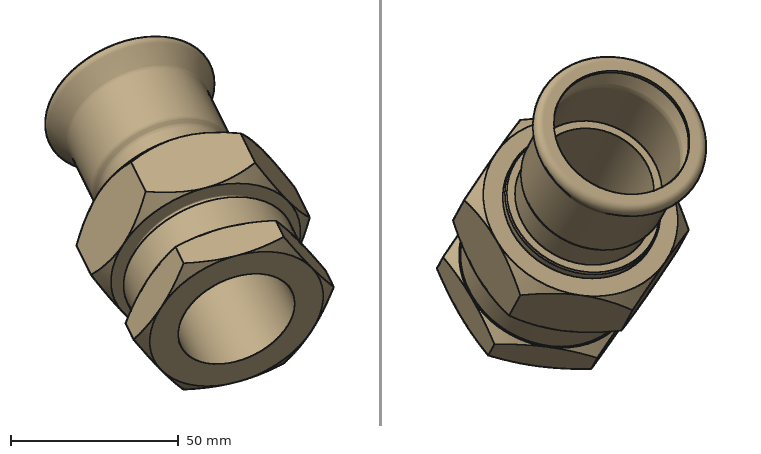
import cadquery as cq
import math

length = 96.0
flange_start = 44.0
nut_start = 46.9
nut_end = 69.0
collar_start = 71.7
end_hex_start = 84.0

bore_radius = 18.4
socket_radius = 20.9
body_radius = 45.0 / 2
neck_radius = 42.0 / 2
flange_radius = 48.0 / 2
ring_radius = 50.0 / 2
collar_radius = 54.0 / 2
flange_chamfer = 0.5
ring_fillet = 0.4

lip_round = 2.5
lip_center_radius = 24.2
lip_angle = math.radians(30)
groove_start = 1.2
groove_radius = 24.4
groove_wall = 1.5
bend_round = 1.8

shoulder_corner = 32.1
shoulder_angle = math.radians(36)
shoulder_round = 1.7
socket_depth = 31.4

nut_flats = 60.0
nut_chamfer_angle = 45
end_flats = 54.9
end_chamfer_angle = 30


def revolve(profile):
    return profile.close().revolve(360, (0, 0, 0), (1, 0, 0))


def round_at(solid, x, radius):
    """Round the circular edge lying in the plane at the given X."""
    margin = 0.01
    span = 2 * nut_flats
    box = cq.selectors.BoxSelector((x - margin, -span, -span), (x + margin, span, span))
    return solid.edges(box).fillet(radius)


def socket_and_neck():
    tangent_x = lip_round * (1 + math.sin(lip_angle))
    tangent_r = lip_center_radius + lip_round * math.cos(lip_angle)
    body_start = tangent_x + (tangent_r - body_radius) / math.tan(lip_angle)
    shoulder_end = shoulder_corner + (body_radius - neck_radius) / math.tan(shoulder_angle)
    arc_angle = (math.pi / 2 + lip_angle) / 2
    arc_middle = (
        lip_round * (1 - math.cos(arc_angle)),
        lip_center_radius + lip_round * math.sin(arc_angle),
    )
    profile = (
        cq.Workplane("XY")
        .lineTo(0, lip_center_radius)
        .threePointArc(arc_middle, (tangent_x, tangent_r))
        .lineTo(body_start, body_radius)
        .lineTo(shoulder_corner, body_radius)
        .lineTo(shoulder_end, neck_radius)
        .lineTo(nut_start, neck_radius)
        .lineTo(nut_start, 0)
    )
    solid = revolve(profile)
    solid = round_at(solid, body_start, bend_round)
    solid = round_at(solid, shoulder_corner, shoulder_round)
    return round_at(solid, shoulder_end, shoulder_round)


def disc(start, end, radius):
    return cq.Workplane("YZ", origin=(start, 0, 0)).circle(radius).extrude(end - start)


def filleted_ring():
    """Ring between nut and collar, with a fillet running up into each neighbour."""
    outer_radius = ring_radius + ring_fillet
    return revolve(
        cq.Workplane("XY")
        .moveTo(nut_end, 0)
        .lineTo(nut_end, outer_radius)
        .radiusArc((nut_end + ring_fillet, ring_radius), -ring_fillet)
        .lineTo(collar_start - ring_fillet, ring_radius)
        .radiusArc((collar_start, outer_radius), -ring_fillet)
        .lineTo(collar_start, 0)
    )


def hexagon(start, end, flats, chamfer_angle):
    """Hexagon with points along Y, both ends turned down to the flats by a cone."""
    corner_radius = flats / math.sqrt(3)
    end_radius = flats / 2
    chamfer_length = (corner_radius - end_radius) * math.tan(math.radians(chamfer_angle))
    prism = cq.Workplane("YZ", origin=(start, 0, 0)).polygon(6, 2 * corner_radius).extrude(end - start)
    turned = revolve(
        cq.Workplane("XY")
        .moveTo(start, 0)
        .lineTo(start, end_radius)
        .lineTo(start + chamfer_length, corner_radius)
        .lineTo(end - chamfer_length, corner_radius)
        .lineTo(end, end_radius)
        .lineTo(end, 0)
    )
    return prism.intersect(turned)


def socket_cavity():
    """Socket bore with a seal groove whose sloping rear wall runs parallel to the outside of the lip."""
    top_end = lip_round * (1 + math.sin(lip_angle))
    slope_end = top_end + (groove_radius - socket_radius) / math.tan(lip_angle)
    socket = disc(0, socket_depth, socket_radius)
    groove = revolve(
        cq.Workplane("XY")
        .moveTo(groove_start, 0)
        .lineTo(groove_start, groove_radius)
        .lineTo(top_end, groove_radius)
        .lineTo(slope_end, socket_radius)
        .lineTo(slope_end, 0)
    )
    return round_at(groove.union(socket), slope_end, bend_round + groove_wall)


flange = disc(flange_start, nut_start, flange_radius).faces("<X").chamfer(flange_chamfer)
body = (
    socket_and_neck()
    .union(flange)
    .union(hexagon(nut_start, nut_end, nut_flats, nut_chamfer_angle))
    .union(filleted_ring())
    .union(disc(collar_start, end_hex_start, collar_radius))
    .union(hexagon(end_hex_start, length, end_flats, end_chamfer_angle))
)
through_bore = disc(0, length, bore_radius)
result = body.cut(through_bore).cut(socket_cavity())